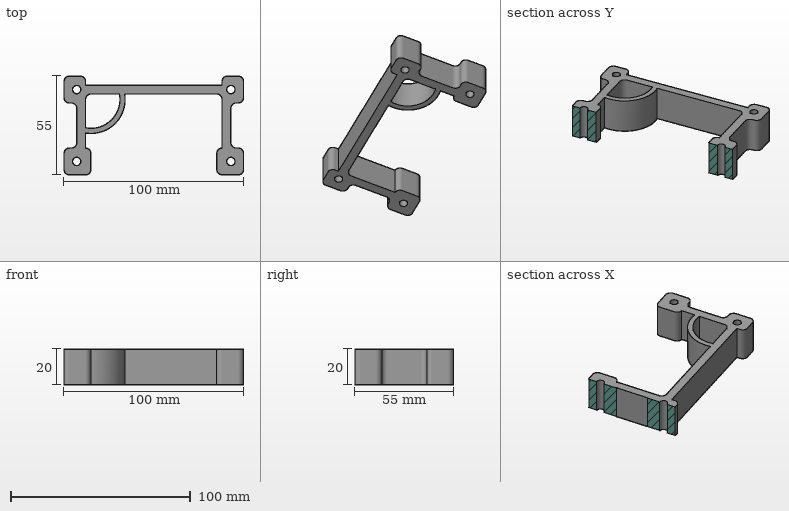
import cadquery as cq

length = 100.0
width = 55.0
height = 20.0

pad_size = 15.0
corner_radius = 3.0
hole_diameter = 4.5
hole_inset_x = 7.1
hole_inset_y = pad_size / 2

wall = 5.0
side_wall_outer = length / 2 - hole_inset_x
side_wall_inner = side_wall_outer - wall
back_wall_outer = width / 2 - wall
back_wall_inner = back_wall_outer - wall

rib_outer_radius = 19.0
rib_thickness = 3.0
rib_center_x = -side_wall_inner + corner_radius
rib_center_y = back_wall_inner - corner_radius


def block(x_min, x_max, y_min, y_max):
    """Full-height block between the given X and Y limits."""
    return cq.Workplane("XY").box(
        x_max - x_min, y_max - y_min, height, centered=False
    ).translate((x_min, y_min, 0))


def inside_fillet(x, y, side_x, side_y):
    """Concave fillet in the corner (x, y), opening towards side_x, side_y."""
    center_x = x + side_x * corner_radius
    center_y = y + side_y * corner_radius
    filler = block(min(x, center_x), max(x, center_x), min(y, center_y), max(y, center_y))
    rounding = cq.Workplane("XY").center(center_x, center_y).circle(corner_radius).extrude(height)
    return filler.cut(rounding)


def side_frame(side):
    """Two pads and the side wall at one end; side is -1 (left) or 1 (right)."""
    def side_block(x_inner, x_outer, y_min, y_max):
        x_limits = sorted((side * x_inner, side * x_outer))
        return block(*x_limits, y_min, y_max)

    x_outer = length / 2
    front_pad_top = -width / 2 + pad_size
    back_pad_bottom = width / 2 - pad_size
    front_pad = side_block(x_outer - pad_size, x_outer, -width / 2, front_pad_top)
    back_pad = side_block(side_wall_inner, x_outer, back_pad_bottom, width / 2)
    frame = front_pad.edges("|Z").fillet(corner_radius)
    frame = frame.union(back_pad.edges("|Z").fillet(corner_radius))
    wall_bottom = -width / 2 + hole_inset_y
    frame = frame.union(side_block(side_wall_inner, side_wall_outer, wall_bottom, back_wall_outer))
    frame = frame.union(inside_fillet(side * side_wall_outer, front_pad_top, side, 1))
    frame = frame.union(inside_fillet(side * side_wall_outer, back_pad_bottom, side, -1))
    return frame.union(inside_fillet(side * side_wall_inner, back_wall_inner, -side, -1))


def curved_rib():
    """Arc-shaped rib, trimmed to the corner between the left and back walls."""
    ring = (
        cq.Workplane("XY")
        .center(rib_center_x, rib_center_y)
        .circle(rib_outer_radius)
        .circle(rib_outer_radius - rib_thickness)
        .extrude(height)
    )
    corner = block(
        -side_wall_inner, rib_center_x + rib_outer_radius,
        rib_center_y - rib_outer_radius, back_wall_inner,
    )
    return ring.intersect(corner)


back_wall = block(-side_wall_inner, side_wall_inner, back_wall_inner, back_wall_outer)
body = back_wall.union(side_frame(-1)).union(side_frame(1)).union(curved_rib())

hole_spacing_x = length - 2 * hole_inset_x
hole_spacing_y = width - 2 * hole_inset_y
holes = (
    cq.Workplane("XY")
    .rarray(hole_spacing_x, hole_spacing_y, 2, 2)
    .circle(hole_diameter / 2)
    .extrude(height)
)
result = body.cut(holes)